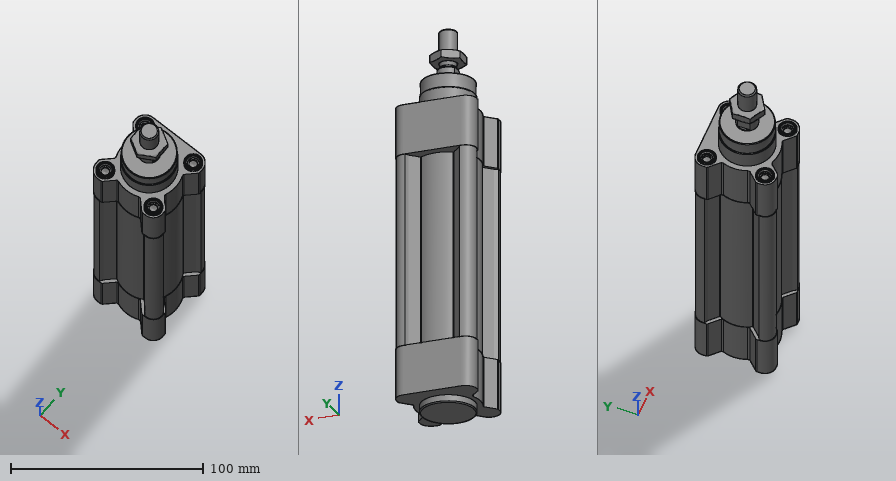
import cadquery as cq
import math

overall_height = 215.0
rear_cap_bottom = 4.0
cap_length = 28.0
tube_length = 108.0
rear_cap_top = rear_cap_bottom + cap_length
front_cap_bottom = rear_cap_top + tube_length
front_cap_top = front_cap_bottom + cap_length
collar_top = 177.9
nose_top = 186.3
flats_bottom = 187.1
shoulder_top = 193.5
neck_top = 194.9
nut_bottom = 197.0
nut_top = 201.8

cap_width = 45.0
cap_half_width = cap_width / 2
cap_belly_radius = 18.0
cap_root_depth = 16.8
cap_lug_half_width = 6.2
cap_lug_bevel = 0.5
cap_corner_radius = 6.2
screw_pitch = 32.5

tube_half_width = 22.2
tube_belly_radius = 17.9
tube_root_depth = 15.5
tube_corner_radius = 5.8
tube_lug_half_width = 4.3
tube_flat_end = 15.3
tube_bevel_end = 14.0

collar_diameter = 30.1
nose_diameter = 29.3
nose_waist_depth = 0.1
nose_chamfer = 0.5
rear_collar_chamfer = 0.6

screw_bore_diameter = 10.0
screw_head_diameter = 9.0
screw_head_chamfer = 0.5
screw_gap_depth = 0.9
screw_core_diameter = 4.5
screw_thread_diameter = 6.0
screw_countersink_diameter = 7.3
screw_thread_depth = 1.3
screw_core_depth = 2.5
drill_tip_angle = 118.0

rod_diameter = 12.0
rod_shoulder_chamfer = 0.6
wrench_flat_width = 10.0
thread_diameter = 10.0
thread_tip_chamfer = 0.75
run_out_top_diameter = 9.5
run_out_bottom_diameter = 8.8
neck_diameter = 8.0
nut_width = 17.0
nut_chamfer_angle = 18.0

edge_tolerance = 0.02


def turned(point, degrees):
    """The point turned about the cylinder axis."""
    x, y = point
    angle = math.radians(degrees)
    return (
        x * math.cos(angle) - y * math.sin(angle),
        x * math.sin(angle) + y * math.cos(angle),
    )


def lugged_prism(lug_edge, belly_radius, bottom, length):
    """Prism with four belly arcs between four corner lugs, the same at every quarter turn.

    lug_edge lists the points on the -Y side of the +X -Y lug, from the end of the belly arc
    out to the side flat. The lug's +X side is the mirror image about its diagonal.
    """
    half_width = -lug_edge[-1][1]
    mirrored_edge = [(-y, -x) for x, y in reversed(lug_edge)]
    lug = lug_edge + [(half_width, -half_width)] + mirrored_edge
    outline = cq.Workplane("XY", origin=(0, 0, bottom)).moveTo(*lug[0])
    for quarter in range(4):
        degrees = 90 * quarter
        for point in lug[1:]:
            outline = outline.lineTo(*turned(point, degrees))
        belly_middle = turned((belly_radius, 0), degrees)
        belly_end = turned(lug[0], degrees + 90)
        outline = outline.threePointArc(belly_middle, belly_end)
    return outline.close().extrude(length)


def upright_edges(prism, point):
    """The upright edges at the point and at its images in all four lugs."""
    distance = math.hypot(*point)

    def at_distance(edge):
        center = edge.Center()
        return abs(math.hypot(center.x, center.y) - distance) < edge_tolerance

    return prism.edges("|Z").filter(at_distance)


def make_cap(bottom):
    flank_offset = cap_lug_half_width * math.sqrt(2)
    belly_end = (math.sqrt(cap_belly_radius**2 - cap_root_depth**2), -cap_root_depth)
    flank_root = (cap_root_depth - flank_offset, -cap_root_depth)
    flank_end = (cap_half_width - flank_offset, -cap_half_width)
    corner = (cap_half_width, -cap_half_width)
    cap = lugged_prism([belly_end, flank_root, flank_end], cap_belly_radius, bottom, cap_length)
    cap = upright_edges(cap, corner).fillet(cap_corner_radius)
    cap = upright_edges(cap, flank_end).chamfer(cap_lug_bevel)
    port_side = (
        cq.Workplane("XY", origin=(0, cap_half_width / 2, bottom))
        .rect(screw_pitch, cap_half_width)
        .extrude(cap_length)
    )
    return cap.union(port_side)


def make_tube():
    flank_offset = tube_lug_half_width * math.sqrt(2)
    belly_end = (math.sqrt(tube_belly_radius**2 - tube_root_depth**2), -tube_root_depth)
    flank_root = (tube_root_depth - flank_offset, -tube_root_depth)
    flank_end = (tube_bevel_end, -tube_bevel_end - flank_offset)
    flat_end = (tube_flat_end, -tube_half_width)
    corner = (tube_half_width, -tube_half_width)
    tube = lugged_prism(
        [belly_end, flank_root, flank_end, flat_end], tube_belly_radius, rear_cap_top, tube_length
    )
    return upright_edges(tube, corner).fillet(tube_corner_radius)


def make_front_collar():
    """Round collar with a slightly waisted nose, both edges of the nose chamfered."""
    collar = (
        cq.Workplane("XY", origin=(0, 0, front_cap_top))
        .circle(collar_diameter / 2)
        .extrude(collar_top - front_cap_top)
    )
    nose_radius = nose_diameter / 2
    waist = (nose_radius - nose_waist_depth, (collar_top + nose_top) / 2)
    nose = (
        cq.Workplane("XZ")
        .moveTo(0, collar_top)
        .lineTo(nose_radius - nose_chamfer, collar_top)
        .lineTo(nose_radius, collar_top + nose_chamfer)
        .threePointArc(waist, (nose_radius, nose_top - nose_chamfer))
        .lineTo(nose_radius - nose_chamfer, nose_top)
        .lineTo(0, nose_top)
        .close()
        .revolve(360, (0, 0, 0), (0, 1, 0))
    )
    return collar.union(nose)


def make_rear_collar():
    return (
        cq.Workplane("XY").circle(collar_diameter / 2).extrude(rear_cap_bottom)
        .faces("<Z").chamfer(rear_collar_chamfer)
    )


def make_screw_recess():
    """Material cut at one lug: the gap around the screw head and the head's threaded hole."""
    head_radius = screw_head_diameter / 2
    gap = (
        cq.Workplane("XZ")
        .moveTo(screw_bore_diameter / 2, 0)
        .lineTo(screw_bore_diameter / 2, -screw_gap_depth)
        .lineTo(head_radius, -screw_gap_depth)
        .lineTo(head_radius, -screw_head_chamfer)
        .lineTo(head_radius - screw_head_chamfer, 0)
        .close()
        .revolve(360, (0, 0, 0), (0, 1, 0))
    )
    countersink_radius = screw_countersink_diameter / 2
    thread_radius = screw_thread_diameter / 2
    core_radius = screw_core_diameter / 2
    tip_length = core_radius / math.tan(math.radians(drill_tip_angle / 2))
    threaded_hole = (
        cq.Workplane("XZ")
        .lineTo(countersink_radius, 0)
        .lineTo(thread_radius, thread_radius - countersink_radius)
        .lineTo(thread_radius, -screw_thread_depth)
        .lineTo(core_radius, -screw_thread_depth)
        .lineTo(core_radius, -screw_core_depth)
        .lineTo(0, -screw_core_depth - tip_length)
        .close()
        .revolve(360, (0, 0, 0), (0, 1, 0))
    )
    return gap.union(threaded_hole)


def make_housing():
    housing = make_tube().union(make_cap(rear_cap_bottom)).union(make_cap(front_cap_bottom))
    housing = housing.union(make_front_collar()).union(make_rear_collar())
    recess = make_screw_recess()
    for side_x in (-1, 1):
        for side_y in (-1, 1):
            place = (side_x * screw_pitch / 2, side_y * screw_pitch / 2, front_cap_top)
            housing = housing.cut(recess.translate(place))
    return housing


def make_piston_rod():
    rod_radius = rod_diameter / 2
    neck_radius = neck_diameter / 2
    thread_radius = thread_diameter / 2
    rod = (
        cq.Workplane("XZ")
        .moveTo(0, nose_top)
        .lineTo(rod_radius, nose_top)
        .lineTo(rod_radius, shoulder_top - rod_shoulder_chamfer)
        .lineTo(rod_radius - rod_shoulder_chamfer, shoulder_top)
        .lineTo(neck_radius, shoulder_top)
        .lineTo(neck_radius, neck_top)
        .lineTo(run_out_bottom_diameter / 2, neck_top)
        .lineTo(run_out_top_diameter / 2, nut_bottom)
        .lineTo(thread_radius, nut_bottom)
        .lineTo(thread_radius, overall_height - thread_tip_chamfer)
        .lineTo(thread_radius - thread_tip_chamfer, overall_height)
        .lineTo(0, overall_height)
        .close()
        .revolve(360, (0, 0, 0), (0, 1, 0))
    )
    between_flats = (
        cq.Workplane("XY", origin=(0, 0, flats_bottom))
        .rect(wrench_flat_width, rod_diameter)
        .extrude(shoulder_top - flats_bottom)
    )
    flat_cut = (
        cq.Workplane("XY", origin=(0, 0, flats_bottom))
        .rect(2 * rod_diameter, 2 * rod_diameter)
        .extrude(shoulder_top - flats_bottom)
        .cut(between_flats)
    )
    return rod.cut(flat_cut)


def make_nut():
    """Hexagon nut with flats facing -X and +X and its corners turned off at both ends."""
    corner_radius = nut_width / math.sqrt(3)
    height = nut_top - nut_bottom
    corner_reach = corner_radius - nut_width / 2
    corner_drop = corner_reach * math.tan(math.radians(nut_chamfer_angle))
    turned_blank = (
        cq.Workplane("XY").circle(corner_radius).extrude(height)
        .faces("<Z or >Z").chamfer(corner_drop, corner_reach)
    )
    hexagon = (
        cq.Workplane("XY").polygon(6, 2 * corner_radius).extrude(height)
        .rotate((0, 0, 0), (0, 0, 1), 90)
    )
    nut = hexagon.intersect(turned_blank)
    nut = nut.faces(">Z").workplane().hole(thread_diameter)
    return nut.translate((0, 0, nut_bottom))


housing = make_housing()
piston_rod = make_piston_rod()
nut = make_nut()

result = cq.Compound.makeCompound([housing.val(), piston_rod.val(), nut.val()])